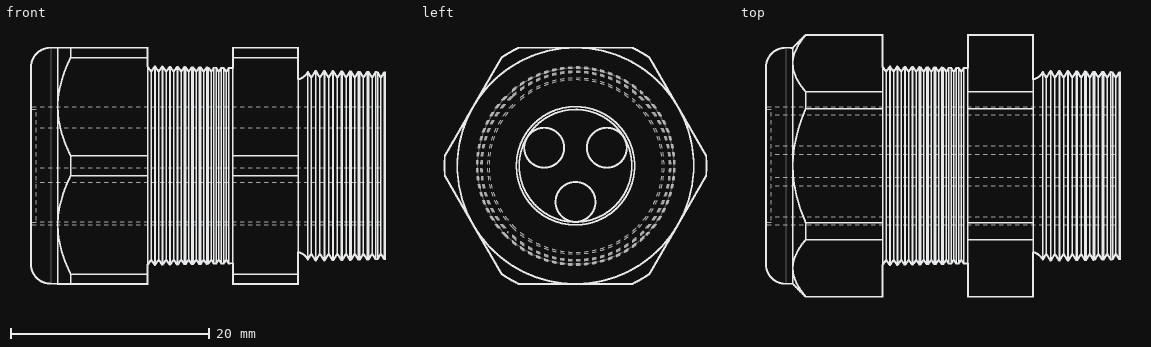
import cadquery as cq
import math


across_flats = 23.9
across_corners = 26.5

nut_end = 11.8
collar_start = 20.4
collar_end = 27.0
body_end = 35.8

dome_radius = across_flats / 2
dome_round = 2.0
dome_length = 2.72
corner_chamfer = (across_corners - across_flats) / 2

insert_radius = 5.98
recess_radius = 5.7
recess_depth = 0.5
cable_hole_radius = 2.0
cable_hole_circle_radius = 3.65
cable_hole_count = 3

nut_thread_crest = 10.05
nut_thread_end_crest = 9.9
nut_thread_root = 9.53
nut_thread_start = 11.78
nut_thread_end = 20.13
nut_thread_grooves = 11

end_thread_crest = 9.65
end_thread_end_crest = 9.45
end_thread_root = 8.9
end_thread_start = 27.9
end_thread_grooves = 9
neck_radius = 8.75
neck_sag = 0.125
neck_top_radius = 9.45
neck_end = 27.95


def turned(profile):
    """Revolve a closed profile of (axial, radial) points about the X axis."""
    return profile.close().revolve(360, (0, 0, 0), (1, 0, 0))


def cylinder(start, end, radius):
    return cq.Workplane("YZ", origin=(start, 0, 0)).circle(radius).extrude(end - start)


def hexagon(start, end):
    """Hexagonal prism with flats up and down and its corners turned off round."""
    sharp_corners = across_flats / math.cos(math.pi / 6)
    prism = cq.Workplane("YZ", origin=(start, 0, 0)).polygon(6, sharp_corners).extrude(end - start)
    return prism.intersect(cylinder(start, end, across_corners / 2))


def groove_points(start, end, count, root, crest, end_crest):
    """Ring grooves in a crest line that falls from crest to end_crest, so the crests get flatter."""
    pitch = (end - start) / count
    points = []
    for index in range(count):
        fall = (crest - end_crest) * (index + 0.5) / count
        local_crest = crest - fall
        half_width = pitch / 2 * (local_crest - root) / (crest - root)
        middle = start + (index + 0.5) * pitch
        points += [(middle - half_width, local_crest), (middle, root), (middle + half_width, local_crest)]
    return points


def make_dome_nut():
    envelope = turned(
        cq.Workplane("XZ")
        .lineTo(0, dome_radius - dome_round)
        .radiusArc((dome_round, dome_radius), dome_round)
        .lineTo(dome_length, dome_radius)
        .lineTo(dome_length + corner_chamfer, across_corners / 2)
        .lineTo(nut_end, across_corners / 2)
        .lineTo(nut_end, 0)
    )
    dome = envelope.intersect(cylinder(0, dome_length, dome_radius))
    return envelope.intersect(hexagon(dome_length, nut_end)).union(dome)


def make_nut_thread():
    points = [(dome_length, 0), (dome_length, nut_thread_crest)]
    points += groove_points(
        nut_thread_start, nut_thread_end, nut_thread_grooves,
        nut_thread_root, nut_thread_crest, nut_thread_end_crest,
    )
    points += [(collar_start, nut_thread_end_crest), (collar_start, 0)]
    return turned(cq.Workplane("XZ").polyline(points))


def make_end_thread():
    thread_points = groove_points(
        end_thread_start, body_end, end_thread_grooves,
        end_thread_root, end_thread_crest, end_thread_end_crest,
    )
    thread_points += [(body_end, end_thread_end_crest), (body_end, 0), (collar_end, 0)]
    thread = turned(cq.Workplane("XZ").polyline([(collar_end, end_thread_crest)] + thread_points))
    neck = turned(
        cq.Workplane("XZ")
        .moveTo(collar_end, neck_radius)
        .sagittaArc((neck_end, neck_top_radius), -neck_sag)
        .lineTo(neck_end, across_flats / 2)
        .lineTo(collar_end, across_flats / 2)
    )
    return thread.cut(neck)


def make_housing():
    housing = make_dome_nut().union(make_nut_thread())
    housing = housing.union(hexagon(collar_start, collar_end)).union(make_end_thread())
    return housing.cut(cylinder(0, body_end, insert_radius))


def make_insert():
    cable_holes = (
        cq.Workplane("YZ")
        .polarArray(cable_hole_circle_radius, -90, 360, cable_hole_count)
        .circle(cable_hole_radius)
        .extrude(body_end)
    )
    blank = cylinder(0, body_end, insert_radius)
    return blank.cut(cylinder(0, recess_depth, recess_radius)).cut(cable_holes)


housing = make_housing()
insert = make_insert()

result = cq.Compound.makeCompound([housing.val(), insert.val()])